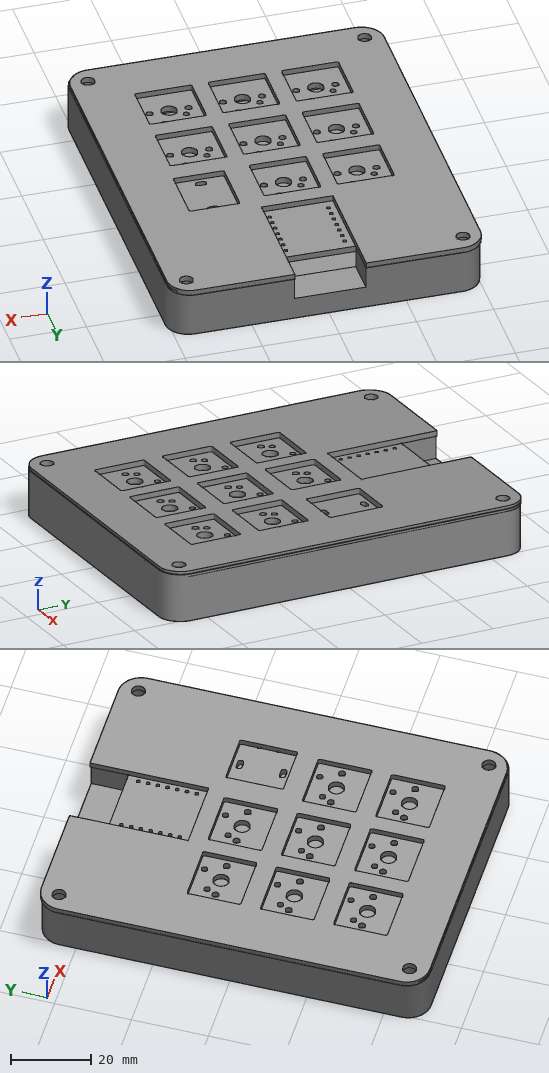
import cadquery as cq


overall_x = 81.7
overall_y = 101.2
overall_z = 13.5

plate_shift = 0.3
body_x = overall_x - plate_shift
body_y = overall_y - plate_shift
corner_radius = 6.0
plate_center = (-plate_shift / 2, plate_shift / 2)
case_center = (plate_shift / 2, -plate_shift / 2)

plate_recess = 0.75
plate_thickness = 2 * plate_recess
plate_bottom = overall_z - plate_thickness
case_height = plate_bottom + plate_recess
board_thickness = 1.6
board_bottom = plate_bottom - board_thickness
cavity_floor = 3.0
notch_floor = 6.0

wall = 9.4
board_gap = 0.3
cavity_x = body_x - 2 * wall
cavity_y = body_y - 2 * wall
board_x = cavity_x - 2 * board_gap
board_y = cavity_y - 2 * board_gap

screw_diameter = 3.4
screw_pitch_x = 71.8
screw_pitch_y = 91.1

notch_width = 18.5
notch_center_x = -0.3
notch_end_y = 19.7

key_pitch = 19.0
key_grid_center = (0.1, -10.5)
key_steps = [
    (column, row)
    for row in (1, 0, -1)
    for column in (-1, 0, 1)
    if (column, row) != (1, 1)
]
key_centers = [
    (key_grid_center[0] + column * key_pitch, key_grid_center[1] + row * key_pitch)
    for column, row in key_steps
]

window_x = 14.8
window_y = 14.0
window_corner_radius = 0.5
window_shift = (-0.5, -0.35)

stem_diameter = 4.0
peg_diameter = 1.7
pin_diameter = 1.5
pin_grid = 2.5
peg_offsets = [(-2 * pin_grid, 0), (2 * pin_grid, 0)]
pin_offsets = [(-1.5 * pin_grid, pin_grid), (pin_grid, 2 * pin_grid)]

encoder_center = (20.1, 9.2)
encoder_window_center = (20.2, 9.2)
encoder_window_x = 13.2
encoder_window_y = 15.0
encoder_slot_length = 2.8
encoder_slot_width = 1.5
encoder_slot_pitch = 11.2
encoder_pin_diameter = 1.0
encoder_switch_x = 7.0
encoder_signal_x = -7.5
encoder_pins = [
    (encoder_switch_x, -pin_grid),
    (encoder_switch_x, pin_grid),
    (encoder_signal_x, -pin_grid),
    (encoder_signal_x, 0),
    (encoder_signal_x, pin_grid),
]

controller_pin_diameter = 0.89
controller_pin_count = 7
controller_row_pitch = 15.3
controller_center = (0.0, 30.1)


def offset_points(center, offsets):
    """Move a list of XY offsets to a centre."""
    return [(center[0] + dx, center[1] + dy) for dx, dy in offsets]


def block(size_x, size_y, bottom, top, center):
    """Rectangular block between two heights."""
    return (
        cq.Workplane("XY", origin=(center[0], center[1], bottom))
        .rect(size_x, size_y)
        .extrude(top - bottom)
    )


def rounded_block(bottom, top, center):
    """Block with the round-cornered footprint shared by the case and the plate."""
    return block(body_x, body_y, bottom, top, center).edges("|Z").fillet(corner_radius)


def cylinders(points, diameter, bottom, top):
    """Vertical cylinders between two heights, used as hole cutters."""
    return (
        cq.Workplane("XY", origin=(0, 0, bottom))
        .pushPoints(points)
        .circle(diameter / 2)
        .extrude(top - bottom)
    )


def screw_holes():
    """Cutters for the corner screw holes through the full height."""
    half_x = screw_pitch_x / 2
    half_y = screw_pitch_y / 2
    corners = [(x, y) for x in (-half_x, half_x) for y in (-half_y, half_y)]
    return cylinders(offset_points(plate_center, corners), screw_diameter, 0, overall_z)


def controller_opening(bottom):
    """Cutter for the controller opening, from a height up and out through the +Y edge."""
    length = overall_y / 2 - notch_end_y
    center = (notch_center_x, notch_end_y + length / 2)
    return block(notch_width, length, bottom, overall_z, center)


def plate_window(size_x, size_y, center):
    """Cutter for a round-cornered window through the plate."""
    window = block(size_x, size_y, plate_bottom, overall_z, center)
    return window.edges("|Z").fillet(window_corner_radius)


def make_case():
    """Hollow case with a recess for the plate and a notch in its +Y wall."""
    case = rounded_block(0, case_height, case_center)
    case = case.cut(block(cavity_x, cavity_y, cavity_floor, case_height, case_center))
    case = case.cut(rounded_block(plate_bottom, overall_z, plate_center))
    case = case.cut(controller_opening(notch_floor))
    return case.cut(screw_holes())


def make_plate():
    """Top plate with the key and encoder windows and the controller opening."""
    plate = rounded_block(plate_bottom, overall_z, plate_center)
    for center in offset_points(window_shift, key_centers):
        plate = plate.cut(plate_window(window_x, window_y, center))
    plate = plate.cut(plate_window(encoder_window_x, encoder_window_y, encoder_window_center))
    plate = plate.cut(controller_opening(plate_bottom))
    return plate.cut(screw_holes())


def drill_board(board, points, diameter):
    """Drill through holes in the board."""
    return board.cut(cylinders(points, diameter, board_bottom, plate_bottom))


def make_board():
    """Circuit board against the underside of the plate, with its component holes."""
    board = block(board_x, board_y, board_bottom, plate_bottom, case_center)

    board = drill_board(board, key_centers, stem_diameter)
    for center in key_centers:
        board = drill_board(board, offset_points(center, peg_offsets), peg_diameter)
        board = drill_board(board, offset_points(center, pin_offsets), pin_diameter)

    slot_offsets = [(0, -encoder_slot_pitch / 2), (0, encoder_slot_pitch / 2)]
    slots = (
        cq.Workplane("XY", origin=(0, 0, board_bottom))
        .pushPoints(offset_points(encoder_center, slot_offsets))
        .slot2D(encoder_slot_length, encoder_slot_width)
        .extrude(board_thickness)
    )
    board = board.cut(slots)
    board = drill_board(board, offset_points(encoder_center, encoder_pins), encoder_pin_diameter)

    middle = (controller_pin_count - 1) / 2
    controller_pins = [
        (x, (index - middle) * pin_grid)
        for x in (-controller_row_pitch / 2, controller_row_pitch / 2)
        for index in range(controller_pin_count)
    ]
    return drill_board(
        board, offset_points(controller_center, controller_pins), controller_pin_diameter
    )


case = make_case()
plate = make_plate()
board = make_board()

result = cq.Compound.makeCompound([case.val(), plate.val(), board.val()])